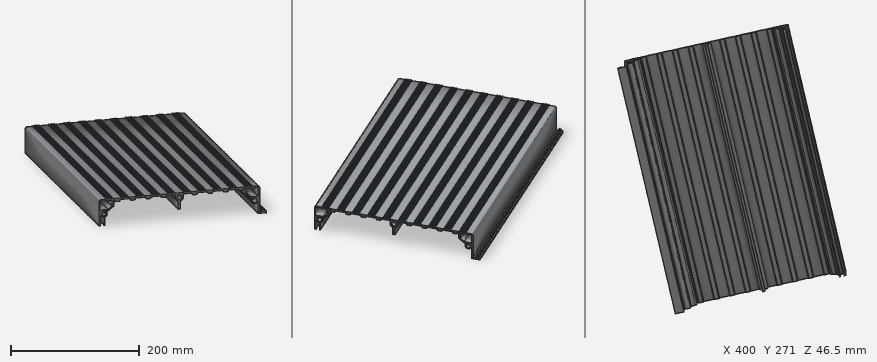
import cadquery as cq
import math

length = 400.0
depth = 271.0
height = 46.5

ridge_height = 1.0
deck_top = height - ridge_height
deck_thickness = 3.0
deck_bottom = deck_top - deck_thickness
deck_width = 260.5
front_face = -depth / 2
rear_face = front_face + deck_width
deck_middle = (front_face + rear_face) / 2
half_width = deck_width / 2
corner_radius = 4.5
wall_thickness = 3.0
slim_wall_thickness = 1.5
front_wall_bottom = 3.0

foot_thickness = 3.0
hook_width = 5.0
hook_height = 5.5
hook_setback = 2.5
hook_chamfer = 1.0

group_pitch = 25.0
group_count = 10
ridges_per_group = 3
ridge_pitch = 4.0
ridge_width = 3.0
ridge_crest = 1.0
rib_count = group_count - 1
rib_height = 3.0
rib_root = 9.0
rib_tip = 6.5

screw_hole_diameter = 7.0
channel_diameter = 11.0
channel_inset = 8.5
channel_z = 22.0
channel_slot = 3.0
chamber_floor = 28.5
recess_corner_radius = 1.0
floor_thickness = 2.5
chamber_leg = 3.0
chamber_width = 21.0
chamber_slope_run = 6.5
chamber_slope_rise = 4.5

boss_diameter = 13.0
boss_z = 38.0
web_width = 4.0
web_bottom = 18.5

fin_thickness = 1.5
fin_gap = 5.5


def extrude_outline(points):
    """Closed (y, z) polygon drawn out over the full length."""
    return cq.Workplane("YZ").polyline(points).close().extrude(length)


def bar(y_min, y_max, z_min, z_max):
    """Rectangular bar over the full length."""
    return extrude_outline([(y_min, z_min), (y_max, z_min), (y_max, z_max), (y_min, z_max)])


def rod(y, z, diameter):
    """Round bar over the full length."""
    return cq.Workplane("YZ").center(y, z).circle(diameter / 2).extrude(length)


def taper(y, z_root, z_tip, root_width, tip_width):
    """Symmetric trapezoidal bar centred on y."""
    return extrude_outline([
        (y - root_width / 2, z_root),
        (y + root_width / 2, z_root),
        (y + tip_width / 2, z_tip),
        (y - tip_width / 2, z_tip),
    ])


def make_shell():
    """Deck with rounded outer corners and a wall down each long side."""
    shell = bar(front_face, rear_face, 0, deck_top)
    shell = shell.edges("|X and >Z").fillet(corner_radius)
    inside = bar(front_face + wall_thickness, rear_face - wall_thickness, 0, deck_bottom)
    below_front_wall = bar(front_face, front_face + wall_thickness, 0, front_wall_bottom)
    slim_recess = bar(
        front_face + slim_wall_thickness, front_face + wall_thickness, chamber_floor, deck_bottom
    )
    slim_recess = slim_recess.edges("|X and <Y").fillet(recess_corner_radius)
    return shell.cut(inside).cut(below_front_wall).cut(slim_recess)


def make_foot():
    """Outward foot at the bottom of the rear wall, with an upstanding hook."""
    tip = depth / 2
    hook_outer = tip - hook_setback
    foot = bar(rear_face - wall_thickness, tip, 0, foot_thickness)
    hook = bar(hook_outer - hook_width, hook_outer, 0, hook_height)
    hook = hook.edges("|X and >Z").chamfer(hook_chamfer)
    return foot.union(hook)


def make_corner(side):
    """Chamber wall and open screw channel beside one wall; side is +1 rear, -1 front."""

    def across(inset):
        return deck_middle + side * (half_width - inset)

    leg_inner = chamber_width
    leg_outer = chamber_width + chamber_leg
    slope_end = leg_inner - chamber_slope_run
    floor_bottom = chamber_floor - floor_thickness
    slope_top = chamber_floor + chamber_slope_rise
    deck_core = deck_top - deck_thickness / 2
    buried = wall_thickness / 2
    corner = extrude_outline([
        (across(leg_inner), deck_core),
        (across(leg_inner), slope_top),
        (across(slope_end), chamber_floor),
        (across(buried), chamber_floor),
        (across(buried), floor_bottom),
        (across(slope_end), floor_bottom),
        (across(leg_outer), slope_top),
        (across(leg_outer), deck_core),
    ])
    channel_y = across(channel_inset)
    channel = rod(channel_y, channel_z, channel_diameter)
    backing = bar(
        *sorted((across(buried), channel_y)),
        channel_z - screw_hole_diameter / 2,
        chamber_floor,
    )
    corner = corner.union(channel).union(backing)
    corner = corner.cut(rod(channel_y, channel_z, screw_hole_diameter))
    slot_end = across(channel_inset + channel_diameter)
    slot = bar(
        *sorted((channel_y, slot_end)), channel_z - channel_slot / 2, channel_z + channel_slot / 2
    )
    return corner.cut(slot)


def make_fin():
    """Thin fin parallel to the front wall, hanging from the screw channel."""
    fin_start = front_face + wall_thickness + fin_gap
    fin_top = channel_z - (screw_hole_diameter + channel_diameter) / 4
    return bar(fin_start, fin_start + fin_thickness, front_wall_bottom, fin_top)


def make_centre_boss():
    """Bored boss under the middle of the deck with a web hanging from it."""
    half_boss = boss_diameter / 2
    boss = rod(deck_middle, boss_z, boss_diameter)
    boss = boss.union(bar(deck_middle - half_boss, deck_middle + half_boss, boss_z, deck_bottom))
    boss = boss.union(
        bar(deck_middle - web_width / 2, deck_middle + web_width / 2, web_bottom, boss_z)
    )
    return boss.cut(rod(deck_middle, boss_z, screw_hole_diameter))


def row(count, pitch, centre):
    """Evenly spaced positions about a centre."""
    return [centre + (i - (count - 1) / 2) * pitch for i in range(count)]


result = make_shell().union(make_foot())
for side in (1, -1):
    result = result.union(make_corner(side))
result = result.union(make_fin()).union(make_centre_boss())

for group_y in row(group_count, group_pitch, deck_middle):
    for ridge_y in row(ridges_per_group, ridge_pitch, group_y):
        result = result.union(taper(ridge_y, deck_top, height, ridge_width, ridge_crest))

for rib_y in row(rib_count, group_pitch, deck_middle):
    if not math.isclose(rib_y, deck_middle):
        result = result.union(
            taper(rib_y, deck_bottom, deck_bottom - rib_height, rib_root, rib_tip)
        )

result = result.translate((-length / 2, 0, 0))